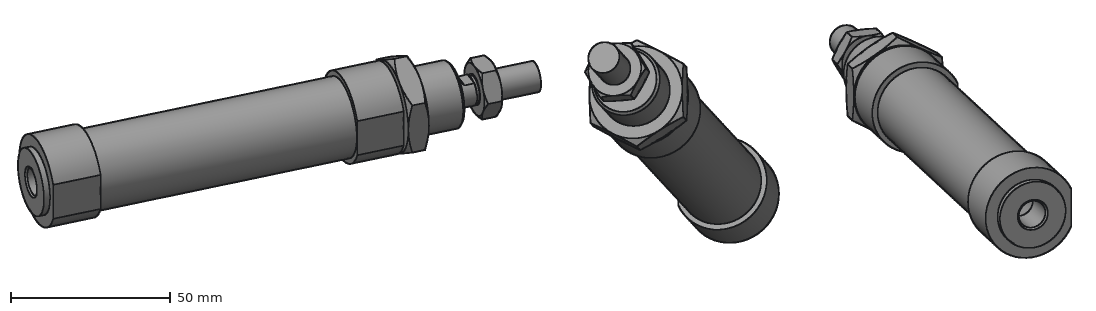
import cadquery as cq
import math

TOTAL_LENGTH = 170.5

TUBE_DIA = 26.5
COLLAR_DIA = 30.0
COLLAR_FLAT_X = 13.6
BOSS_DIA = 22.0
BOSS_CHAMFER = 0.9
REAR_BOSS_LENGTH = 2.0
REAR_COLLAR_LENGTH = 16.0
FRONT_COLLAR_LENGTH = 15.7
FRONT_COLLAR_END = 120.5
HOUSING_LENGTH = 142.5

HOLE_DIA = 8.9
HOLE_MOUTH_DIA = 10.0
HOLE_DEPTH = 12.0
DRILL_POINT_ANGLE = 118.0

ROD_DIA = 10.0
GROOVE_DIA = 8.9
SHANK_LENGTH = 6.3
GROOVE_LENGTH = 1.0
WRENCH_WIDTH = 8.2
WRENCH_LENGTH = 3.4
WRENCH_RUNOUT = 1.0

NUT_CHAMFER_ANGLE = 30.0
ROD_NUT_FLATS = 17.0
ROD_NUT_HEIGHT = 6.1
HOUSING_NUT_FLATS = COLLAR_DIA
HOUSING_NUT_HEIGHT = 7.0
HOUSING_NUT_GAP = 1.0

GROOVE_START = HOUSING_LENGTH + SHANK_LENGTH
ROD_NUT_START = GROOVE_START + GROOVE_LENGTH
HOUSING_NUT_START = FRONT_COLLAR_END + HOUSING_NUT_GAP


def cylinder(diameter, start, length):
    """Cylinder on the Y axis, running from start towards +Y."""
    return cq.Workplane(cq.Solid.makeCylinder(
        diameter / 2, length, cq.Vector(0, start, 0), cq.Vector(0, 1, 0)))


def revolve_about_y(radius_and_y):
    """Solid of revolution from (radius, y) outline points."""
    return cq.Workplane("XY").polyline(radius_and_y).close().revolve(360, (0, 0), (0, 1))


def make_collar(start, length):
    """Round collar with one flat on its +X side."""
    collar = cylinder(COLLAR_DIA, start, length)
    flat_stock = cq.Workplane("XY").box(COLLAR_DIA, length, COLLAR_DIA).translate(
        (COLLAR_FLAT_X - COLLAR_DIA / 2, start + length / 2, 0))
    return collar.intersect(flat_stock)


def make_rear_hole():
    """Blind hole with a 45 degree mouth chamfer and a conical bottom."""
    radius = HOLE_DIA / 2
    mouth_radius = HOLE_MOUTH_DIA / 2
    point_length = radius / math.tan(math.radians(DRILL_POINT_ANGLE / 2))
    return revolve_about_y([
        (0, 0),
        (mouth_radius, 0),
        (radius, mouth_radius - radius),
        (radius, HOLE_DEPTH),
        (0, HOLE_DEPTH + point_length),
    ])


def make_housing():
    """Tube, both collars, rear boss and front boss as one solid."""
    front_boss = cylinder(BOSS_DIA, FRONT_COLLAR_END, HOUSING_LENGTH - FRONT_COLLAR_END)
    front_boss = front_boss.faces(">Y").chamfer(BOSS_CHAMFER)
    tube = cylinder(TUBE_DIA, REAR_BOSS_LENGTH, FRONT_COLLAR_END - REAR_BOSS_LENGTH)
    return (
        cylinder(BOSS_DIA, 0, REAR_BOSS_LENGTH)
        .union(tube)
        .union(make_collar(REAR_BOSS_LENGTH, REAR_COLLAR_LENGTH))
        .union(make_collar(FRONT_COLLAR_END - FRONT_COLLAR_LENGTH, FRONT_COLLAR_LENGTH))
        .union(front_boss)
        .cut(make_rear_hole())
    )


def make_rod():
    """Rod standing on the housing face, with a groove and two wrench flats."""
    shank = cylinder(ROD_DIA, HOUSING_LENGTH, SHANK_LENGTH)
    groove = cylinder(GROOVE_DIA, GROOVE_START, GROOVE_LENGTH)
    tip = cylinder(ROD_DIA, ROD_NUT_START, TOTAL_LENGTH - ROD_NUT_START)
    flat_start = GROOVE_START - WRENCH_LENGTH
    rod_radius = ROD_DIA / 2
    flat_cut = (
        cq.Workplane("YZ")
        .moveTo(flat_start - WRENCH_RUNOUT, rod_radius)
        .lineTo(flat_start, WRENCH_WIDTH / 2)
        .lineTo(ROD_NUT_START, WRENCH_WIDTH / 2)
        .lineTo(ROD_NUT_START, rod_radius)
        .close()
        .extrude(rod_radius, both=True)
    )
    shank = shank.cut(flat_cut).cut(flat_cut.mirror("XY"))
    return shank.union(groove).union(tip)


def make_nut(across_flats, height, bore_dia, start, corner_angle):
    """Hexagon nut chamfered at both ends; corner_angle turns one corner away from X."""
    corner_radius = across_flats / math.sqrt(3)
    face_radius = across_flats / 2
    chamfer_height = (corner_radius - face_radius) * math.tan(math.radians(NUT_CHAMFER_ANGLE))
    end = start + height
    hexagon = (
        cq.Workplane("XZ", origin=(0, end, 0))
        .polygon(6, 2 * corner_radius)
        .extrude(height)
        .rotate((0, 0, 0), (0, 1, 0), corner_angle)
    )
    chamfer_envelope = revolve_about_y([
        (0, start),
        (face_radius, start),
        (corner_radius, start + chamfer_height),
        (corner_radius, end - chamfer_height),
        (face_radius, end),
        (0, end),
    ])
    return hexagon.intersect(chamfer_envelope).cut(cylinder(bore_dia, start, height))


housing = make_housing()
rod = make_rod()
rod_nut = make_nut(ROD_NUT_FLATS, ROD_NUT_HEIGHT, ROD_DIA, ROD_NUT_START, 0)
housing_nut = make_nut(HOUSING_NUT_FLATS, HOUSING_NUT_HEIGHT, BOSS_DIA, HOUSING_NUT_START, 90)

result = cq.Compound.makeCompound([
    housing.val(),
    rod.val(),
    rod_nut.val(),
    housing_nut.val(),
])